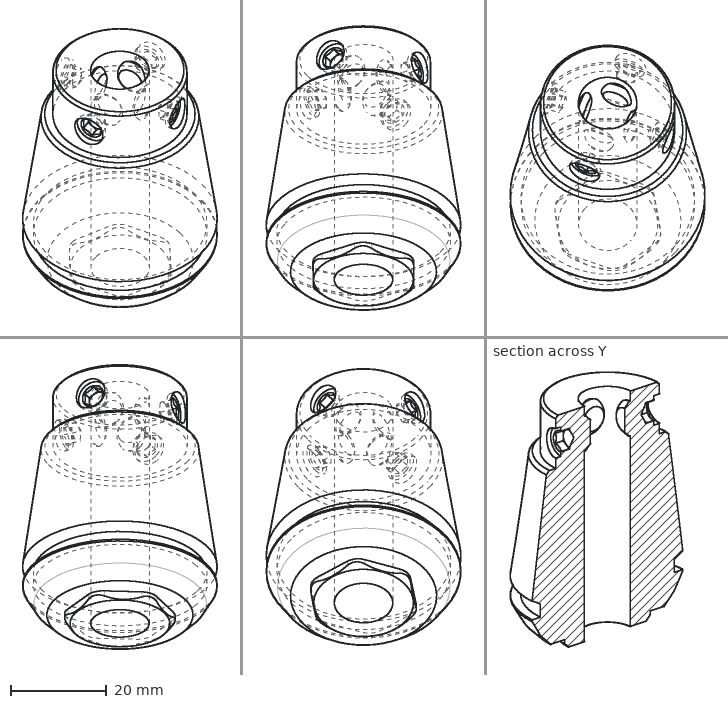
import math

import cadquery as cq

total_height = 54.0
bore_diameter = 12.19

collar_diameter = 28.0
collar_base_z = 42.0
collar_chamfer = 0.65

skirt_top_diameter = 32.95
skirt_bottom_diameter = 40.64
skirt_bottom_z = 13.38
skirt_chamfer = 0.8

groove_diameter = 36.2
groove_bottom_z = 9.1
groove_flank_angle = 30.0

flange_diameter = 40.55
flange_rim_height = 0.4
upper_cone_bottom_diameter = 36.0
upper_cone_angle = 30.0
flange_bottom_z = 2.0

hex_across_flats = 21.0
hex_corner_diameter = 23.1
nose_end_diameter = 20.8
nose_chamfer_angle = 45.0

hex_half_angle = 30.0

screw_count = 4
screw_axis_z = 47.7
hole_diameter = 6.65
screw_diameter = 8.0
screw_tip_distance = 4.54
screw_length = 8.0
screw_tip_diameter = 5.5
screw_tip_chamfer = (screw_diameter - screw_tip_diameter) / 2
socket_across_flats = 4.0
socket_mouth_diameter = 4.85
socket_depth = 2.3
socket_cone_angle = 120.0


def tangent(degrees):
    return math.tan(math.radians(degrees))


def across_corners(across_flats):
    return across_flats / math.cos(math.radians(hex_half_angle))


def make_body():
    """Revolved collar, skirt, groove and flange, without the bore."""
    collar_r = collar_diameter / 2
    skirt_top_r = skirt_top_diameter / 2
    skirt_bottom_r = skirt_bottom_diameter / 2
    groove_r = groove_diameter / 2
    flange_r = flange_diameter / 2
    cone_r = upper_cone_bottom_diameter / 2

    groove_top_z = skirt_bottom_z - (skirt_bottom_r - groove_r) * tangent(groove_flank_angle)
    rim_bottom_z = groove_bottom_z - flange_rim_height
    cone_bottom_z = rim_bottom_z - (flange_r - cone_r) / tangent(upper_cone_angle)
    flange_bottom_r = cone_r - (cone_bottom_z - flange_bottom_z)

    profile = [
        (0, flange_bottom_z),
        (flange_bottom_r, flange_bottom_z),
        (cone_r, cone_bottom_z),
        (flange_r, rim_bottom_z),
        (flange_r, groove_bottom_z),
        (groove_r, groove_bottom_z),
        (groove_r, groove_top_z),
        (skirt_bottom_r, skirt_bottom_z),
        (skirt_top_r, collar_base_z - skirt_chamfer),
        (skirt_top_r - skirt_chamfer, collar_base_z),
        (collar_r, collar_base_z),
        (collar_r, total_height - collar_chamfer),
        (collar_r - collar_chamfer, total_height),
        (0, total_height),
    ]
    return cq.Workplane("XZ").polyline(profile).close().revolve(360, (0, 0), (0, 1))


def make_hex_nose():
    """Hexagon with rounded corners and a conical chamfer at its lower end."""
    sharp_corner_diameter = across_corners(hex_across_flats)
    corner_cut = (sharp_corner_diameter - hex_corner_diameter) / 2
    corner_fillet = corner_cut / (across_corners(1) - 1)
    hexagon = (
        cq.Workplane("XY")
        .polygon(6, sharp_corner_diameter)
        .extrude(flange_bottom_z)
        .edges("|Z")
        .fillet(corner_fillet)
    )
    end_r = nose_end_diameter / 2
    top_r = end_r + flange_bottom_z * tangent(nose_chamfer_angle)
    cone = cq.Workplane("XY").add(cq.Solid.makeCone(end_r, top_r, flange_bottom_z))
    return hexagon.intersect(cone)


def make_screw():
    """Flat-point set screw along +X, its tip toward the origin and its hex socket outward."""
    screw_r = screw_diameter / 2
    tip_r = screw_tip_diameter / 2
    head_x = screw_tip_distance + screw_length
    profile = [
        (screw_tip_distance, 0),
        (screw_tip_distance, tip_r),
        (screw_tip_distance + screw_tip_chamfer, screw_r),
        (head_x, screw_r),
        (head_x, 0),
    ]
    screw = cq.Workplane("XY").polyline(profile).close().revolve(360, (0, 0), (1, 0))

    socket_floor_x = head_x - socket_depth
    socket = (
        cq.Workplane("YZ", origin=(socket_floor_x, 0, 0))
        .polygon(6, across_corners(socket_across_flats))
        .extrude(socket_depth)
        .rotate((0, 0, 0), (1, 0, 0), hex_half_angle)
    )

    flat_r = socket_across_flats / 2
    mouth_r = socket_mouth_diameter / 2
    floor_cone = cq.Solid.makeCone(
        flat_r, 0, flat_r / tangent(socket_cone_angle / 2),
        cq.Vector(socket_floor_x, 0, 0), cq.Vector(-1, 0, 0),
    )
    mouth_cone = cq.Solid.makeCone(
        mouth_r, flat_r, mouth_r - flat_r,
        cq.Vector(head_x, 0, 0), cq.Vector(-1, 0, 0),
    )
    return screw.cut(socket).cut(cq.Workplane(floor_cone)).cut(cq.Workplane(mouth_cone))


def add_screws(body):
    """Drill the radial holes and seat one set screw in each."""
    hole = cq.Workplane("YZ").circle(hole_diameter / 2).extrude(collar_diameter)
    screw = make_screw()
    lift = (0, 0, screw_axis_z)
    angles = [index * 360 / screw_count for index in range(screw_count)]
    for angle in angles:
        body = body.cut(hole.rotate((0, 0, 0), (0, 0, 1), angle).translate(lift))
    for angle in angles:
        body = body.union(screw.rotate((0, 0, 0), (0, 0, 1), angle).translate(lift))
    return body


bore = cq.Workplane("XY").circle(bore_diameter / 2).extrude(total_height)
bored_body = make_body().union(make_hex_nose()).cut(bore)
result = add_screws(bored_body)